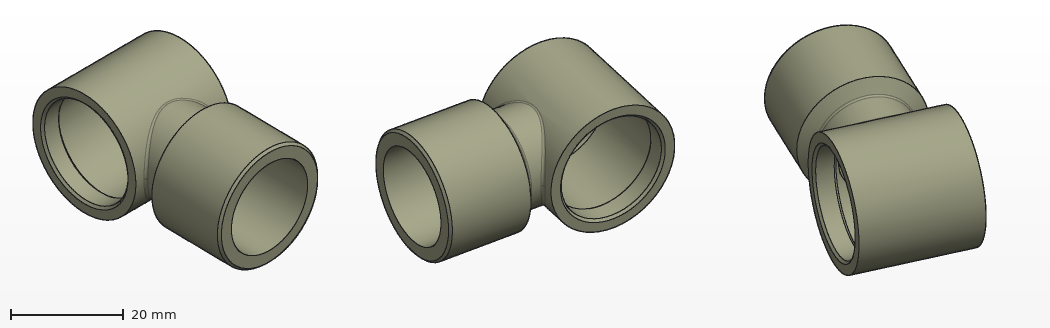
import cadquery as cq
import math

ring_radius = 13.0
ring_length = 24.0
lip_radius = 10.5
lip_length = 4.0
lip_chamfer = 0.5
recess_radius = 11.0

branch_end = 34.5
neck_radius = 9.5
neck_bore_radius = 7.0
neck_fillet = 0.5
head_radius = 12.5
shoulder_end = 17.5
shoulder_angle = 60.0
shoulder_start = shoulder_end - (head_radius - neck_radius) / math.tan(math.radians(shoulder_angle))
head_chamfer = 0.5
socket_start = 17.0
socket_radius = 9.5


def cylinder_along_x(radius, start, end):
    return cq.Workplane("YZ", origin=(start, 0, 0)).circle(radius).extrude(end - start)


def cylinder_along_y(radius, length):
    """Cylinder along Y, centred on the origin."""
    return cq.Workplane("XZ").circle(radius).extrude(length / 2, both=True)


def neck_edges_between(start, end):
    """Selector for the edges round the neck that lie wholly between two X positions."""
    reach = neck_radius + neck_fillet
    return cq.selectors.BoxSelector((start, -reach, -reach), (end, reach, reach), boundingbox=True)


def make_branch():
    """Solid neck, conical shoulder and head, turned about the X axis."""
    outline = (
        cq.Workplane("XY")
        .moveTo(0, 0)
        .lineTo(0, neck_radius)
        .lineTo(shoulder_start, neck_radius)
        .lineTo(shoulder_end, head_radius)
        .lineTo(branch_end - head_chamfer, head_radius)
        .lineTo(branch_end, head_radius - head_chamfer)
        .lineTo(branch_end, 0)
        .close()
    )
    branch = outline.revolve(360, (0, 0, 0), (1, 0, 0))
    shoulder_root = neck_edges_between(shoulder_start - neck_fillet, shoulder_start + neck_fillet)
    return branch.edges(shoulder_root).fillet(neck_fillet)


def make_body():
    """Ring and branch joined, with a fillet where the neck meets the ring."""
    body = cylinder_along_y(ring_radius, ring_length).union(make_branch())
    ring_joint = neck_edges_between(0, ring_radius + neck_fillet)
    return body.edges(ring_joint).fillet(neck_fillet)


def make_ring_bore():
    """Bore with a chamfered lip at each mouth and a wider, sloped-ended recess between the lips."""
    half_length = ring_length / 2
    inner_lip_edge = half_length - lip_length
    recess_half_length = inner_lip_edge - (recess_radius - lip_radius)
    mouth_radius = lip_radius + lip_chamfer
    outline = (
        cq.Workplane("XY")
        .moveTo(0, -half_length)
        .lineTo(mouth_radius, -half_length)
        .lineTo(lip_radius, -half_length + lip_chamfer)
        .lineTo(lip_radius, -inner_lip_edge)
        .lineTo(recess_radius, -recess_half_length)
        .lineTo(recess_radius, recess_half_length)
        .lineTo(lip_radius, inner_lip_edge)
        .lineTo(lip_radius, half_length - lip_chamfer)
        .lineTo(mouth_radius, half_length)
        .lineTo(0, half_length)
        .close()
    )
    return outline.revolve(360, (0, 0, 0), (0, 1, 0))


def make_branch_bore():
    """Neck bore from the ring, opening into a wider socket in the head."""
    neck_bore = cylinder_along_x(neck_bore_radius, 0, socket_start)
    socket = cylinder_along_x(socket_radius, socket_start, branch_end)
    return neck_bore.union(socket)


result = make_body().cut(make_ring_bore()).cut(make_branch_bore())